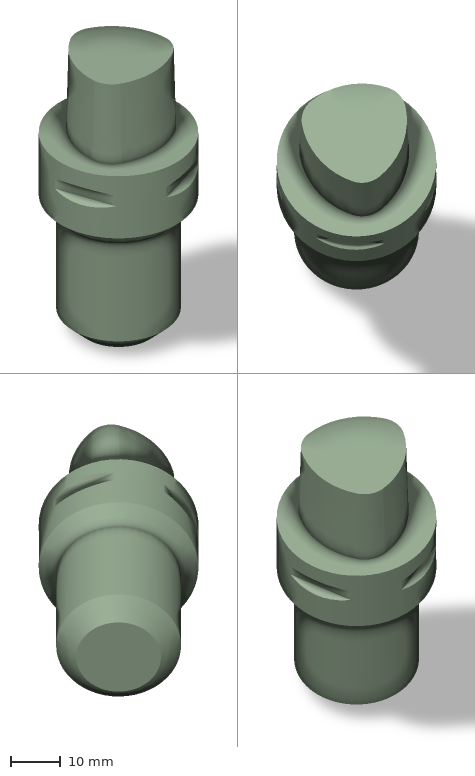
import cadquery as cq
import math

total_length = 65.0
flange_diameter = 32.0
nose_diameter = 25.0
nose_chamfer = 4.0
flange_height = 14.95
shank_length = 18.9

flange_radius = flange_diameter / 2
nose_radius = nose_diameter / 2
flange_top = total_length - shank_length
flange_bottom = flange_top - flange_height
nose_top = flange_bottom - (flange_radius - nose_radius)

lobe_center_distance = 6.0
shank_base_width = 22.05
shank_taper = 1 / 20
lobe_angles = (90, 210, 330)
lobe_arc_half_angle = 30

groove_count = 4
groove_first_angle = 45
groove_floor_distance = 14.4
groove_floor_height = 2.5
groove_side_angle = 30
groove_center_depth = 6.0
groove_clearance = 0.65


def polar(radius, degrees):
    angle = math.radians(degrees)
    return cq.Vector(radius * math.cos(angle), radius * math.sin(angle))


def lobed_wire(width, z):
    """Constant-width outline: three lobe arcs joined by three tangent flank arcs."""
    center_spacing = lobe_center_distance * math.sqrt(3)
    lobe_radius = (width - center_spacing) / 2
    flank_radius = lobe_radius + center_spacing
    lift = cq.Vector(0, 0, z)
    edges = []
    for lobe_angle in lobe_angles:
        lobe_center = polar(lobe_center_distance, lobe_angle) + lift
        flank_center = polar(lobe_center_distance, lobe_angle - 120) + lift
        flank_angle = lobe_angle + 60
        arcs = (
            (lobe_center, lobe_radius, lobe_angle),
            (flank_center, flank_radius, flank_angle),
        )
        for center, radius, middle in arcs:
            start = center + polar(radius, middle - lobe_arc_half_angle)
            end = center + polar(radius, middle + lobe_arc_half_angle)
            edges.append(cq.Edge.makeThreePointArc(start, center + polar(radius, middle), end))
    return cq.Wire.assembleEdges(edges)


def make_turned_body():
    profile = [
        (0, 0),
        (nose_radius - nose_chamfer, 0),
        (nose_radius, nose_chamfer),
        (nose_radius, nose_top),
        (flange_radius, flange_bottom),
        (flange_radius, flange_top),
        (0, flange_top),
    ]
    return cq.Workplane("XZ").polyline(profile).close().revolve(360, (0, 0), (0, 1))


def make_shank():
    top_width = shank_base_width - shank_taper * shank_length
    base = lobed_wire(shank_base_width, flange_top)
    top = lobed_wire(top_width, total_length)
    return cq.Workplane(obj=cq.Solid.makeLoft([base, top], True))


def make_groove_cutter(angle):
    cutter_depth = flange_radius - groove_floor_distance + groove_clearance
    flare = cutter_depth * math.tan(math.radians(groove_side_angle))
    center_z = flange_top - groove_center_depth
    floor_half = groove_floor_height / 2
    outer_distance = groove_floor_distance + cutter_depth
    section = [
        (groove_floor_distance, center_z - floor_half),
        (outer_distance, center_z - floor_half - flare),
        (outer_distance, center_z + floor_half + flare),
        (groove_floor_distance, center_z + floor_half),
    ]
    cutter = cq.Workplane("XZ").polyline(section).close().extrude(flange_radius, both=True)
    return cutter.rotate((0, 0, 0), (0, 0, 1), angle)


def make_holder():
    holder = make_turned_body().union(make_shank())
    for index in range(groove_count):
        angle = groove_first_angle + index * 360 / groove_count
        holder = holder.cut(make_groove_cutter(angle))
    return holder


holder = make_holder()
result = cq.Compound.makeCompound([holder.val()])